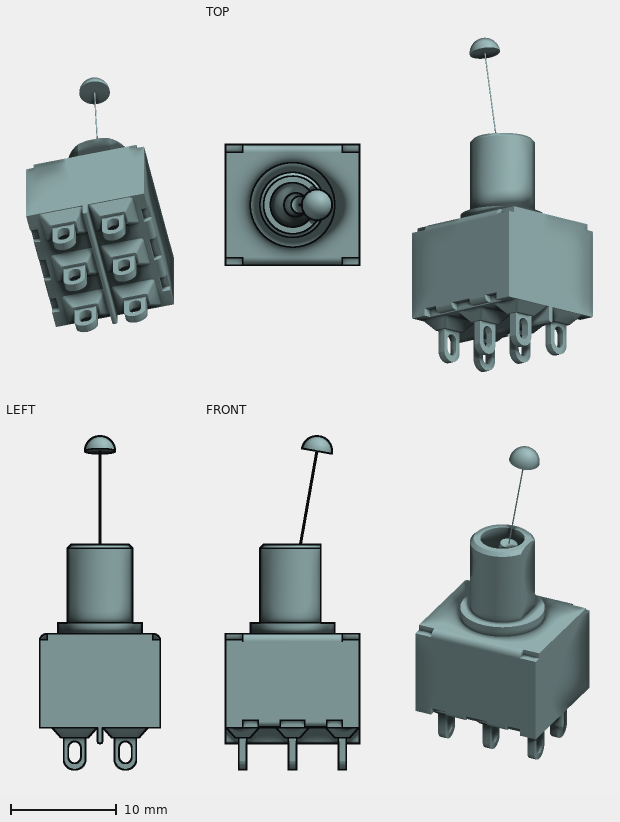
import cadquery as cq
import math

OVERALL_HEIGHT = 31.58

HOUSING_X = 12.7
HOUSING_Y = 11.43
HOUSING_BOTTOM = 3.98
HOUSING_TOP = 12.9
PANEL_TOP = 12.32
BRACKET_HALF_X = 4.7
BRACKET_THICKNESS = 0.73
BRACKET_BOTTOM = 4.67
CORE_Y = HOUSING_Y - 2 * BRACKET_THICKNESS

TAB_SPACING = 4.4
TAB_WIDTH = 2.05
TAB_BOTTOM = 4.07
TAB_BEND = 0.47

BARRIER_THICKNESS = 0.5
BARRIER_BOTTOM = 2.5

TERMINAL_PITCH_X = BRACKET_HALF_X
TERMINAL_Y = 2.4
TERMINAL_THICKNESS = 0.75
TERMINAL_WIDTH = 2.1
TERMINAL_ROUND_HEIGHT = 0.85
SLOT_WIDTH = 1.17
SLOT_BOTTOM = 0.63
SLOT_TOP = 2.7
COLLAR_BOTTOM = 3.03
COLLAR_TIP_X = 1.4
COLLAR_TIP_Y = 2.55
COLLAR_FLARE = 0.85
COLLAR_TIP_ROUND = 0.22
COLLAR_BASE_ROUND = 0.3

FLANGE_DIAMETER = 8.0
FLANGE_TOP = 13.9
BUSHING_DIAMETER = 6.15
BUSHING_TOP = 21.32
BUSHING_CHAMFER = 0.35
BUSHING_FLAT_X = 2.7
BORE_DIAMETER = 4.2

PIVOT_Z = 17.05
LEVER_TILT = 10.0
LEVER_ROOT_DIAMETER = 2.27
LEVER_ROOT_DISTANCE = 1.75
LEVER_NECK_DIAMETER = 1.65
LEVER_NECK_DISTANCE = 3.92
STEM_DIAMETER = 0.13
KNOB_RADIUS = 1.45
KNOB_CENTER_Z = OVERALL_HEIGHT - KNOB_RADIUS


def block(size_x, size_y, bottom, top):
    """Box centred on the Z axis between two heights."""
    return cq.Workplane("XY").workplane(offset=bottom).rect(size_x, size_y).extrude(top - bottom)


def disc(diameter, bottom, top):
    """Cylinder on the Z axis between two heights."""
    return cq.Workplane("XY").workplane(offset=bottom).circle(diameter / 2).extrude(top - bottom)


def make_housing():
    core = block(HOUSING_X, CORE_Y, HOUSING_BOTTOM, HOUSING_TOP)
    panels = block(HOUSING_X, HOUSING_Y, HOUSING_BOTTOM, PANEL_TOP)
    panels = panels.cut(block(2 * BRACKET_HALF_X, HOUSING_Y, HOUSING_BOTTOM, PANEL_TOP))
    bracket = block(2 * BRACKET_HALF_X, HOUSING_Y, BRACKET_BOTTOM, HOUSING_TOP)
    bracket = bracket.edges("|X and >Z").fillet(BRACKET_THICKNESS)
    tabs = block(TAB_WIDTH, HOUSING_Y, TAB_BOTTOM, BRACKET_BOTTOM).edges("|X and <Z").fillet(TAB_BEND)
    housing = core.union(panels).union(bracket)
    for side in (-1, 1):
        housing = housing.union(tabs.translate((side * TAB_SPACING / 2, 0, 0)))
    return housing


def make_barrier():
    round_radius = BARRIER_THICKNESS / 2
    round_start = BARRIER_BOTTOM + round_radius
    return (
        cq.Workplane("YZ")
        .moveTo(-round_radius, HOUSING_BOTTOM)
        .lineTo(-round_radius, round_start)
        .threePointArc((0, BARRIER_BOTTOM), (round_radius, round_start))
        .lineTo(round_radius, HOUSING_BOTTOM)
        .close()
        .extrude(HOUSING_X / 2, both=True)
    )


def make_terminal():
    """Solder lug with a slot, hanging from a flared collar."""
    half_width = TERMINAL_WIDTH / 2
    lug = (
        cq.Workplane("YZ")
        .moveTo(-half_width, HOUSING_BOTTOM)
        .lineTo(-half_width, TERMINAL_ROUND_HEIGHT)
        .threePointArc((0, 0), (half_width, TERMINAL_ROUND_HEIGHT))
        .lineTo(half_width, HOUSING_BOTTOM)
        .close()
        .extrude(TERMINAL_THICKNESS / 2, both=True)
    )
    slot = (
        cq.Workplane("YZ")
        .center(0, (SLOT_BOTTOM + SLOT_TOP) / 2)
        .slot2D(SLOT_TOP - SLOT_BOTTOM, SLOT_WIDTH, 90)
        .extrude(TERMINAL_THICKNESS, both=True)
    )
    base_x = COLLAR_TIP_X + 2 * COLLAR_FLARE
    base_y = COLLAR_TIP_Y + 2 * COLLAR_FLARE
    tip = cq.Sketch().rect(COLLAR_TIP_X, COLLAR_TIP_Y).vertices().fillet(COLLAR_TIP_ROUND)
    base = cq.Sketch().rect(base_x, base_y).vertices().fillet(COLLAR_BASE_ROUND)
    collar_height = HOUSING_BOTTOM - COLLAR_BOTTOM
    collar = (
        cq.Workplane("XY")
        .workplane(offset=COLLAR_BOTTOM)
        .placeSketch(tip, base.moved(cq.Location(cq.Vector(0, 0, collar_height))))
        .loft()
    )
    return lug.cut(slot).union(collar)


def make_bushing():
    barrel = disc(BUSHING_DIAMETER, HOUSING_TOP, BUSHING_TOP).faces(">Z").chamfer(BUSHING_CHAMFER)
    beyond_flat = block(BUSHING_DIAMETER, BUSHING_DIAMETER, FLANGE_TOP, BUSHING_TOP)
    barrel = barrel.cut(beyond_flat.translate((BUSHING_FLAT_X + BUSHING_DIAMETER / 2, 0, 0)))
    bore_radius = BORE_DIAMETER / 2
    dome_offset = bore_radius * math.sqrt(0.5)
    bore = (
        cq.Workplane("XZ")
        .moveTo(0, PIVOT_Z + bore_radius)
        .threePointArc((dome_offset, PIVOT_Z + dome_offset), (bore_radius, PIVOT_Z))
        .lineTo(bore_radius, BUSHING_TOP)
        .lineTo(0, BUSHING_TOP)
        .close()
        .revolve(360, (0, 0, 0), (0, 1, 0))
    )
    return disc(FLANGE_DIAMETER, HOUSING_TOP, FLANGE_TOP).union(barrel).cut(bore)


def make_lever():
    """Tapered lever, slim stem and half-round knob in one body, leaning toward +X about the pivot."""
    knob_distance = (KNOB_CENTER_Z - PIVOT_Z) / math.cos(math.radians(LEVER_TILT))
    knob_slope = KNOB_RADIUS * math.sqrt(0.5)
    root_radius = LEVER_ROOT_DIAMETER / 2
    neck_radius = LEVER_NECK_DIAMETER / 2
    stem_radius = STEM_DIAMETER / 2
    lever = (
        cq.Workplane("XZ")
        .lineTo(root_radius, 0)
        .lineTo(root_radius, LEVER_ROOT_DISTANCE)
        .lineTo(neck_radius, LEVER_NECK_DISTANCE)
        .lineTo(stem_radius, LEVER_NECK_DISTANCE)
        .lineTo(stem_radius, knob_distance)
        .lineTo(KNOB_RADIUS, knob_distance)
        .threePointArc((knob_slope, knob_distance + knob_slope), (0, knob_distance + KNOB_RADIUS))
        .close()
        .revolve(360, (0, 0, 0), (0, 1, 0))
    )
    return lever.rotate((0, 0, 0), (0, 1, 0), LEVER_TILT).translate((0, 0, PIVOT_Z))


result = make_housing().union(make_barrier()).union(make_bushing()).union(make_lever())
terminal = make_terminal()
for column in (-1, 0, 1):
    for row in (-1, 1):
        result = result.union(terminal.translate((column * TERMINAL_PITCH_X, row * TERMINAL_Y, 0)))